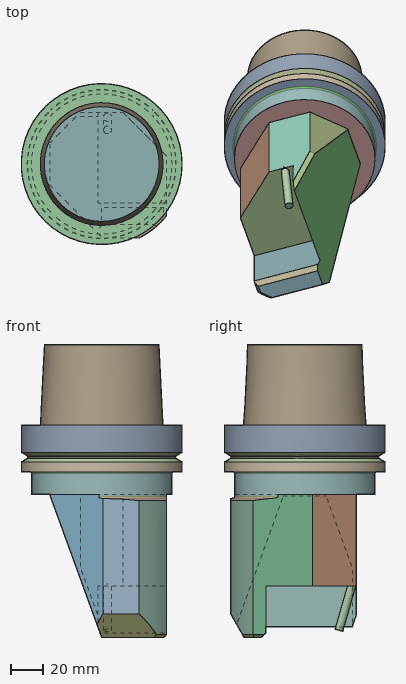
import cadquery as cq
import math

TAPER_HEIGHT = 50.0
FLANGE_BOTTOM = -29.0
NECK_BOTTOM = -43.0
SLANT_TOP = -44.0
FOOT_BOTTOM = -131.9

TAPER_BASE_RADIUS = 38.1
TAPER_RATIO = 1 / 20
FLANGE_RADIUS = 99.95 / 2
GROOVE_RADIUS = 91.95 / 2
GROOVE_CENTRE = -19.9
GROOVE_WIDTH = 6.0
GROOVE_FILLET = 0.5
GROOVE_FLANK_ANGLE = 30.0
NECK_RADIUS = 87.2 / 2
NECK_FILLET = 1.0

FLAT_DISTANCE = 32.0
FRONT_Y = -46.0
SIDE_X = 40.3
SHANK_RADIUS = 51.5
SLANT_ANGLE = 20.0
SLANT_EDGE_CHAMFER = 2.5

SHOULDER_INNER_Z = -45.1
SHOULDER_OUTER_Z = -46.9
SHOULDER_FILLET = 1.0

POCKET_X = -2.4
POCKET_TOP = -100.0
FOOT_INNER_Y = -24.2
FOOT_INNER_CHAMFER = 2.8
FOOT_OUTER_CHAMFER = 1.8
FOOT_BEVEL_BOTTOM_Y = -37.6
FOOT_BEVEL_TOP_Z = -117.2

PIN_DIAMETER = 5.0
PIN_LEAN = 16.0
PIN_FACE_OFFSET = 6.0
PIN_END_Y = 21.2
PIN_END_Z = -127.4
PIN_ROOT_DEPTH = 2.0

MARGIN = 20.0
RADIUS_TOLERANCE = 0.001


def circles_of_radius(body, radius):
    """Circular edges of a turned body that have the given radius."""
    return body.edges("%CIRCLE").filter(lambda edge: abs(edge.radius() - radius) < RADIUS_TOLERANCE)


def make_adapter():
    """Taper, grooved flange and neck as one turned body."""
    taper_top_radius = TAPER_BASE_RADIUS - TAPER_HEIGHT * TAPER_RATIO
    flank = (FLANGE_RADIUS - GROOVE_RADIUS) * math.tan(math.radians(GROOVE_FLANK_ANGLE))
    groove_top = GROOVE_CENTRE + GROOVE_WIDTH / 2
    groove_bottom = GROOVE_CENTRE - GROOVE_WIDTH / 2
    profile = [
        (0, TAPER_HEIGHT),
        (taper_top_radius, TAPER_HEIGHT),
        (TAPER_BASE_RADIUS, 0),
        (FLANGE_RADIUS, 0),
        (FLANGE_RADIUS, groove_top),
        (GROOVE_RADIUS, groove_top - flank),
        (GROOVE_RADIUS, groove_bottom + flank),
        (FLANGE_RADIUS, groove_bottom),
        (FLANGE_RADIUS, FLANGE_BOTTOM),
        (NECK_RADIUS, FLANGE_BOTTOM),
        (NECK_RADIUS, NECK_BOTTOM),
        (0, NECK_BOTTOM),
    ]
    body = cq.Workplane("XZ").polyline(profile).close().revolve(360, (0, 0), (0, 1))
    body = circles_of_radius(body, GROOVE_RADIUS).fillet(GROOVE_FILLET)
    return circles_of_radius(body, NECK_RADIUS).edges(">Z").fillet(NECK_FILLET)


def make_shank_blank():
    """Prism with octagon flats, a straight front and an arc at the front corner."""
    flat_corner = FLAT_DISTANCE * (math.sqrt(2) - 1)
    diagonal_sum = FLAT_DISTANCE * math.sqrt(2)
    arc_start_x = math.sqrt(SHANK_RADIUS**2 - FRONT_Y**2)
    arc_end_y = -math.sqrt(SHANK_RADIUS**2 - SIDE_X**2)
    mid_angle = (math.atan2(FRONT_Y, arc_start_x) + math.atan2(arc_end_y, SIDE_X)) / 2
    arc_mid = (SHANK_RADIUS * math.cos(mid_angle), SHANK_RADIUS * math.sin(mid_angle))
    return (
        cq.Workplane("XY")
        .workplane(offset=FOOT_BOTTOM)
        .moveTo(SIDE_X, diagonal_sum - SIDE_X)
        .lineTo(flat_corner, FLAT_DISTANCE)
        .lineTo(-flat_corner, FLAT_DISTANCE)
        .lineTo(-FLAT_DISTANCE, flat_corner)
        .lineTo(-FLAT_DISTANCE, -flat_corner)
        .lineTo(-diagonal_sum - FRONT_Y, FRONT_Y)
        .lineTo(arc_start_x, FRONT_Y)
        .threePointArc(arc_mid, (SIDE_X, arc_end_y))
        .close()
        .extrude(NECK_BOTTOM - FOOT_BOTTOM)
    )


def chamfer_foot_edges(blank):
    """Chamfer the bottom edges along the +X side and the front arc."""
    edges = blank.faces("<Z").edges(">X").add(blank.faces("<Z").edges("%CIRCLE"))
    return edges.chamfer(FOOT_OUTER_CHAMFER)


def make_shoulder_cutter():
    """Ring above the conical shoulder, with a rounded inner corner at the neck."""
    outer_radius = SHANK_RADIUS + MARGIN
    slope = (SHOULDER_OUTER_Z - SHOULDER_INNER_Z) / (SHANK_RADIUS - NECK_RADIUS)
    outer_z = SHOULDER_INNER_Z + slope * (outer_radius - NECK_RADIUS)
    profile = [
        (NECK_RADIUS, NECK_BOTTOM),
        (outer_radius, NECK_BOTTOM),
        (outer_radius, outer_z),
        (NECK_RADIUS, SHOULDER_INNER_Z),
    ]
    ring = cq.Workplane("XZ").polyline(profile).close().revolve(360, (0, 0), (0, 1))
    return circles_of_radius(ring, NECK_RADIUS).edges("<Z").fillet(SHOULDER_FILLET)


def make_slant_cutter():
    """Body outside the slanted face, with a 45-degree chamfer along its back edge."""
    angle = math.radians(SLANT_ANGLE)
    low_z = FOOT_BOTTOM - MARGIN
    low_x = -FLAT_DISTANCE + (SLANT_TOP - low_z) * math.tan(angle)
    outer_x = -FLAT_DISTANCE - MARGIN
    half_width = FLAT_DISTANCE + MARGIN
    wedge = (
        cq.Workplane("XZ")
        .polyline([(-FLAT_DISTANCE, SLANT_TOP), (low_x, low_z), (outer_x, low_z), (outer_x, SLANT_TOP)])
        .close()
        .extrude(half_width, both=True)
    )
    across_slant = cq.Plane(
        origin=(-FLAT_DISTANCE, FLAT_DISTANCE, SLANT_TOP),
        xDir=(math.cos(angle), 0, math.sin(angle)),
        normal=(math.sin(angle), 0, -math.cos(angle)),
    )
    edge_chamfer = (
        cq.Workplane(across_slant)
        .polyline([(0, 0), (SLANT_EDGE_CHAMFER, 0), (0, SLANT_EDGE_CHAMFER)])
        .close()
        .extrude((SLANT_TOP - low_z) / math.cos(angle))
    )
    return wedge.union(edge_chamfer)


def make_pocket_cutter():
    """Space beside the thin blade, open to the back, the side and below."""
    length_x = SIDE_X + MARGIN - POCKET_X
    length_y = FLAT_DISTANCE + MARGIN - FOOT_INNER_Y
    depth = POCKET_TOP - FOOT_BOTTOM + MARGIN
    pocket = cq.Workplane("XY").box(length_x, length_y, depth, centered=False)
    return pocket.translate((POCKET_X, FOOT_INNER_Y, POCKET_TOP - depth))


def make_foot_edge_cutter(profile):
    """Triangular bar along X that trims a lower edge of the foot."""
    return cq.Workplane("YZ").polyline(profile).close().extrude(SIDE_X + MARGIN, both=True)


def make_foot_bevel_cutter():
    """Steep bevel under the front of the foot."""
    return make_foot_edge_cutter([
        (FOOT_BEVEL_BOTTOM_Y, FOOT_BOTTOM),
        (FRONT_Y, FOOT_BEVEL_TOP_Z),
        (FRONT_Y, FOOT_BOTTOM),
    ])


def make_foot_chamfer_cutter():
    """45-degree chamfer on the foot's lower edge along the pocket."""
    return make_foot_edge_cutter([
        (FOOT_INNER_Y, FOOT_BOTTOM),
        (FOOT_INNER_Y, FOOT_BOTTOM + FOOT_INNER_CHAMFER),
        (FOOT_INNER_Y - FOOT_INNER_CHAMFER, FOOT_BOTTOM),
    ])


def make_pin():
    """Leaning pin from the pocket's top, starting inside the material above it."""
    lean = math.radians(PIN_LEAN)
    up_axis = cq.Vector(0, math.sin(lean), math.cos(lean))
    length = (POCKET_TOP + PIN_ROOT_DEPTH - PIN_END_Z) / math.cos(lean)
    end = cq.Vector(POCKET_X + PIN_FACE_OFFSET, PIN_END_Y, PIN_END_Z)
    return cq.Workplane(cq.Solid.makeCylinder(PIN_DIAMETER / 2, length, end, up_axis))


shank = chamfer_foot_edges(make_shank_blank())
shank = shank.cut(make_shoulder_cutter())
shank = shank.cut(make_slant_cutter())
shank = shank.cut(make_pocket_cutter())
shank = shank.cut(make_foot_bevel_cutter())
shank = shank.cut(make_foot_chamfer_cutter())

result = make_adapter().union(shank).union(make_pin())